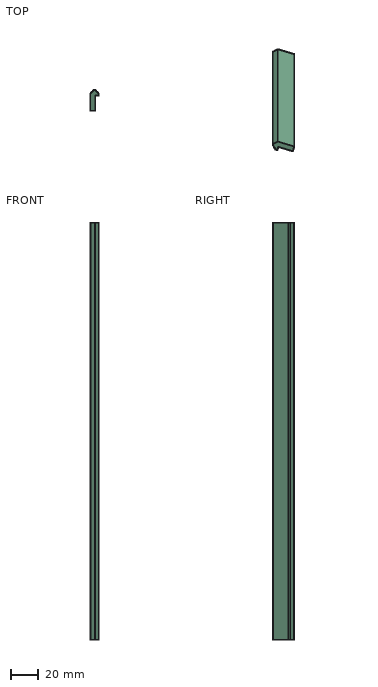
import cadquery as cq
import math

width = 6.35
length = 304.8

shoulder_height = 12.7
leg_thickness = 3.87
lip_height = 1.5875

blunt_width = 0.508
foot_chamfer = blunt_width / math.sqrt(2)
half_tip = blunt_width / 2

depth = shoulder_height + width / 2 - half_tip

left = -width / 2
right = width / 2
leg_right = left + leg_thickness
foot = -depth / 2
tip = depth / 2
shoulder = foot + shoulder_height
lip_underside = shoulder - lip_height


def hooked_profile():
    """Closed cross-section in the XY plane, with its point toward +Y."""
    return (
        cq.Workplane("XY")
        .workplane(offset=-length / 2)
        .moveTo(left + foot_chamfer, foot)
        .lineTo(leg_right - foot_chamfer, foot)
        .lineTo(leg_right, foot + foot_chamfer)
        .lineTo(leg_right, lip_underside)
        .lineTo(right, lip_underside)
        .lineTo(right, shoulder)
        .lineTo(half_tip, tip)
        .lineTo(-half_tip, tip)
        .lineTo(left, shoulder)
        .lineTo(left, foot + foot_chamfer)
        .close()
    )


result = hooked_profile().extrude(length)